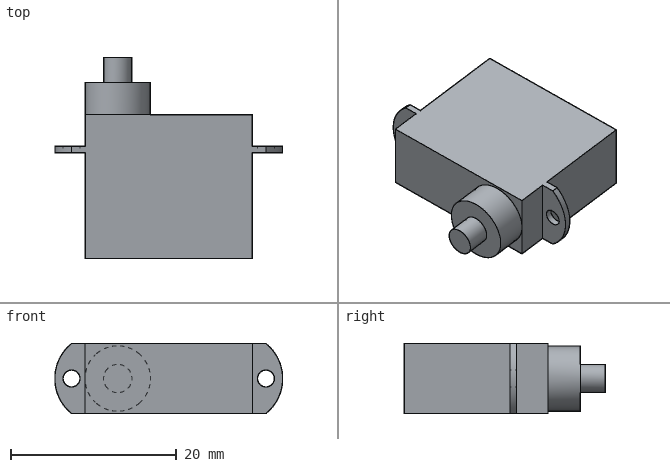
import cadquery as cq

case_width = 20.23
case_length = 17.4
case_height = 8.5

boss_diameter = 7.9
boss_length = 3.9
shaft_diameter = 3.42
shaft_length = 3.0
boss_x = (boss_diameter - case_width) / 2

ear_span = 27.55
ear_thickness = 0.8
ear_setback = 3.8
hole_spacing = 23.48
hole_diameter = 2.0


def end_cylinder(diameter, start_y, length):
    """Cylinder on the output axis, running toward +Y from start_y."""
    return (
        cq.Workplane("XZ", origin=(boss_x, start_y, 0))
        .circle(diameter / 2)
        .extrude(-length)
    )


def mounting_plate():
    """Plate whose end arcs begin level with the screw holes."""
    half_height = case_height / 2
    corner_x = hole_spacing / 2
    tip_x = ear_span / 2
    return (
        cq.Workplane("XZ", origin=(0, case_length - ear_setback, 0))
        .moveTo(-corner_x, half_height)
        .lineTo(corner_x, half_height)
        .threePointArc((tip_x, 0), (corner_x, -half_height))
        .lineTo(-corner_x, -half_height)
        .threePointArc((-tip_x, 0), (-corner_x, half_height))
        .close()
        .pushPoints([(-corner_x, 0), (corner_x, 0)])
        .circle(hole_diameter / 2)
        .extrude(ear_thickness)
    )


case = cq.Workplane("XY").box(
    case_width, case_length, case_height, centered=(True, False, True)
)
boss = end_cylinder(boss_diameter, case_length, boss_length)
shaft = end_cylinder(shaft_diameter, case_length + boss_length, shaft_length)

result = case.union(mounting_plate()).union(boss).union(shaft)